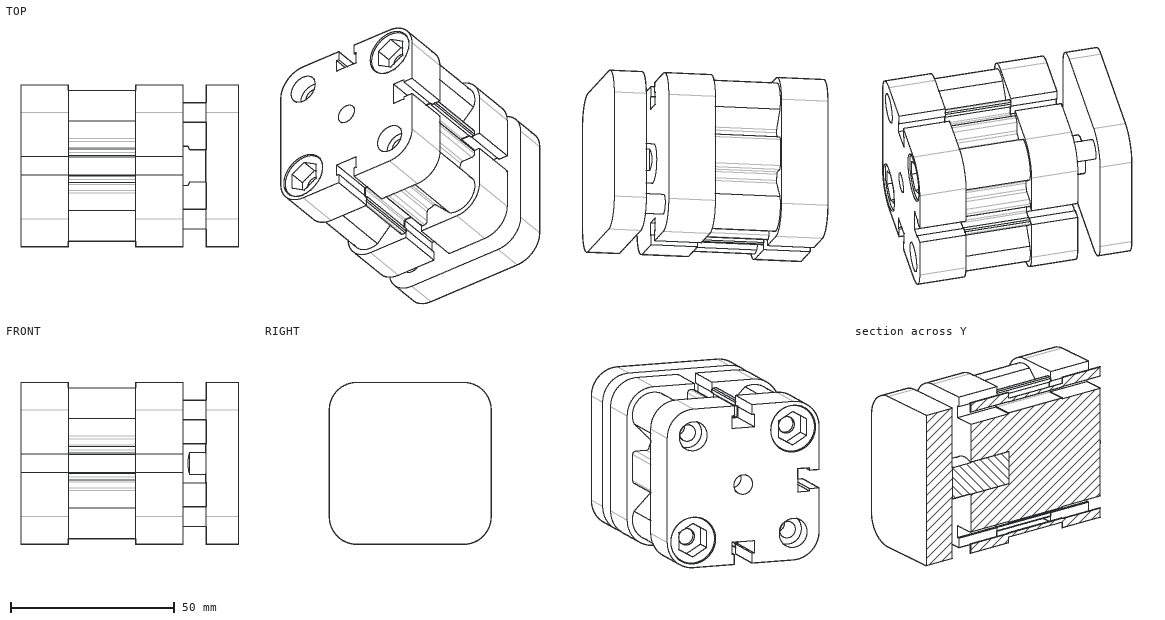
import cadquery as cq
import math


total_length = 66.5
side = 49.5
cap_length = 14.5
tube_length = 20.55
yoke_thickness = 10.0
front_cap_x = cap_length + tube_length
yoke_x = total_length - yoke_thickness

bolt_spacing = 32.5
corner_offset = bolt_spacing / 2
half_side = side / 2
corner_radius = half_side - corner_offset

core_radius = 18.6
web_width = 12.6
barrel_radius = 6.8
land_width = 10.2
land_height = 22.95
land_edge_radius = 1.0
root_radius = 0.8
position_tolerance = 0.005

cap_slot_opening = 5.7
cap_slot_width = 7.25
cap_slot_lip = 3.1
cap_slot_depth = 7.0
tube_slot_opening = 5.45
tube_slot_width = 6.7
tube_slot_lip = 3.25
tube_slot_depth = 6.7
tube_lip_chamfer = 0.4
slot_root_radius = 0.4
slot_angles = (0, 90, 180)

centre_hole_diameter = 6.05
centre_hole_depth = 10.0
plain_hole_diameter = 9.05
plain_hole_depth = 5.0
core_hole_diameter = 5.1

plug_diameter = 14.2
plug_recess_diameter = 14.55
plug_length = 6.65
plug_inset = 0.5
plug_recess_depth = plug_inset + plug_length
hex_across_flats = 9.05
hex_depth = 5.3

rod_diameter = 12.05
rod_end_chamfer = 0.2
flats_thickness = 10.0
flats_x = 51.55
flats_run_in = 0.5

guide_diameter = 6.05

guided_corners = [(-corner_offset, corner_offset), (corner_offset, -corner_offset)]
plain_corners = [(corner_offset, corner_offset), (-corner_offset, -corner_offset)]


def section_at(x):
    """Sketch plane square to the X axis, with local x along Y and local y along Z."""
    return cq.Workplane("YZ", origin=(x, 0, 0))


def rounded_block(x, length):
    return section_at(x).rect(side, side).extrude(length).edges("|X").fillet(corner_radius)


def slot_cutter(x, length, opening, width, lip, depth):
    """T-shaped cutter open towards +Z."""
    lip_z = half_side - lip
    floor_z = half_side - depth
    throat = section_at(x).center(0, (half_side + floor_z) / 2).rect(opening, depth).extrude(length)
    pocket = section_at(x).center(0, (lip_z + floor_z) / 2).rect(width, lip_z - floor_z).extrude(length)
    return throat.union(pocket)


def cut_slots(body, cutter):
    for angle in slot_angles:
        body = body.cut(cutter.rotate((0, 0, 0), (1, 0, 0), angle))
    return body


def make_cap(x):
    cutter = slot_cutter(
        x, cap_length, cap_slot_opening, cap_slot_width, cap_slot_lip, cap_slot_depth
    )
    return cut_slots(rounded_block(x, cap_length), cutter)


def diagonal_web():
    """Radial web, rounded into a barrel around the corner bore, before turning onto its diagonal."""
    barrel_reach = bolt_spacing / math.sqrt(2)
    half_web = web_width / 2
    shoulder = barrel_reach + math.sqrt(barrel_radius**2 - half_web**2)
    return (
        section_at(cap_length)
        .moveTo(0, -half_web)
        .lineTo(shoulder, -half_web)
        .threePointArc((barrel_reach + barrel_radius, 0), (shoulder, half_web))
        .lineTo(0, half_web)
        .close()
        .extrude(tube_length)
    )


def slot_land():
    """Raised land with rounded shoulders on the +Z side."""
    return (
        section_at(cap_length)
        .center(0, land_height / 2)
        .rect(land_width, land_height)
        .extrude(tube_length)
        .edges("|X and >Z")
        .fillet(land_edge_radius)
    )


def tube_slot_cutter():
    slot = slot_cutter(
        cap_length, tube_length, tube_slot_opening, tube_slot_width, tube_slot_lip, tube_slot_depth
    )
    slot = slot.edges("|X and <Z").fillet(slot_root_radius)
    half_mouth = tube_slot_opening / 2
    chamfer_z = land_height - tube_lip_chamfer
    lead_in = (
        section_at(cap_length)
        .polyline([
            (-half_mouth, chamfer_z),
            (half_mouth, chamfer_z),
            (half_mouth + tube_lip_chamfer, land_height),
            (-half_mouth - tube_lip_chamfer, land_height),
        ])
        .close()
        .extrude(tube_length)
    )
    return slot.union(lead_in)


def make_tube():
    tube = section_at(cap_length).circle(core_radius).extrude(tube_length)
    for quarter_turn in range(4):
        angle = 90 * quarter_turn
        tube = tube.union(diagonal_web().rotate((0, 0, 0), (1, 0, 0), angle + 45))
        tube = tube.union(slot_land().rotate((0, 0, 0), (1, 0, 0), angle))
    root_edges = tube.edges("|X").filter(
        lambda edge: abs(math.hypot(edge.Center().y, edge.Center().z) - core_radius) < position_tolerance
    )
    tube = tube.newObject(root_edges.vals()).fillet(root_radius)
    return cut_slots(tube, tube_slot_cutter())


def cut_housing_holes(body):
    holes = [
        section_at(0).circle(centre_hole_diameter / 2).extrude(centre_hole_depth),
        section_at(0).pushPoints(plain_corners).circle(plain_hole_diameter / 2).extrude(plain_hole_depth),
        section_at(0).pushPoints(plain_corners).circle(core_hole_diameter / 2).extrude(cap_length),
        section_at(0).pushPoints(guided_corners).circle(plug_recess_diameter / 2).extrude(plug_recess_depth),
        section_at(front_cap_x).circle(rod_diameter / 2).extrude(cap_length),
        section_at(front_cap_x).pushPoints(guided_corners).circle(guide_diameter / 2).extrude(cap_length),
    ]
    for hole in holes:
        body = body.cut(hole)
    return body


def make_housing():
    body = make_cap(0).union(make_tube()).union(make_cap(front_cap_x))
    return cut_housing_holes(body)


def make_plug(corner):
    """Round plug with a hexagon socket and a through hole."""
    hex_across_corners = hex_across_flats / math.cos(math.pi / 6)
    socket = section_at(plug_inset).polygon(6, hex_across_corners).extrude(hex_depth)
    socket = socket.rotate((0, 0, 0), (1, 0, 0), 30)
    plug = section_at(plug_inset).circle(plug_diameter / 2).extrude(plug_length).cut(socket)
    plug = plug.cut(section_at(plug_inset).circle(core_hole_diameter / 2).extrude(plug_length))
    return plug.translate((0, *corner))


def make_piston_rod():
    """Rod with two spanner flats facing -Y and +Y, each with a sloped run-in."""
    rod = section_at(front_cap_x).circle(rod_diameter / 2).extrude(yoke_x - front_cap_x)
    rod = rod.faces(">X").chamfer(rod_end_chamfer)
    rod_radius = rod_diameter / 2
    half_flats = flats_thickness / 2
    flat_cutter = (
        cq.Workplane("XY")
        .polyline([
            (flats_x, half_flats),
            (yoke_x, half_flats),
            (yoke_x, rod_radius),
            (flats_x - flats_run_in, rod_radius),
        ])
        .close()
        .extrude(rod_radius, both=True)
    )
    return rod.cut(flat_cutter).cut(flat_cutter.mirror("XZ"))


def make_yoke():
    """Front plate carrying the guide rods."""
    guides = (
        section_at(front_cap_x)
        .pushPoints(guided_corners)
        .circle(guide_diameter / 2)
        .extrude(yoke_x - front_cap_x)
    )
    return rounded_block(yoke_x, yoke_thickness).union(guides)


housing = make_housing()
piston_rod = make_piston_rod()
yoke = make_yoke()
plugs = [make_plug(corner) for corner in guided_corners]

bodies = [housing, piston_rod, yoke, *plugs]

result = cq.Compound.makeCompound([body.solids().val() for body in bodies])